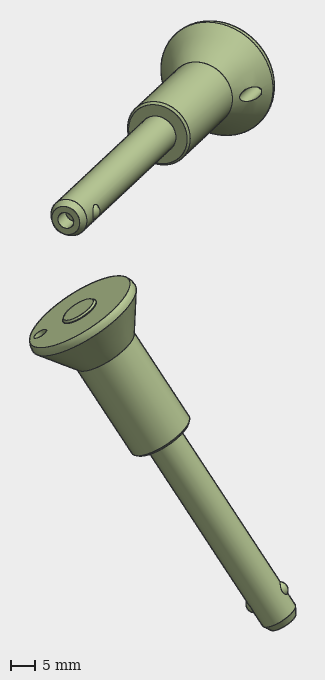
import cadquery as cq
import math


total_length = 80.8
shank_length = 47.8
tip_chamfer_length = 1.6
sleeve_length = 22.4
sleeve_chamfer = 0.5
cone_length = 8.25
button_height = 0.6
button_chamfer = 0.4
rim_land = 0.25
rim_thickness = total_length - shank_length - sleeve_length - cone_length - button_height

shank_diameter = 8.0
tip_diameter = 6.2
sleeve_diameter = 14.0
flange_diameter = 25.0
button_diameter = 8.0

rim_bulge_radius = 2.75

bore_diameter = 3.5
bore_depth = 4

ball_diameter = 3.5
ball_reach = 4.8
ball_to_tip = 6.3

lanyard_hole_diameter = 3.0
lanyard_hole_offset = 9.45

tip_y = -shank_length
cone_start_y = sleeve_length
rim_start_y = cone_start_y + cone_length
bulge_start_y = rim_start_y + rim_land
flange_back_y = rim_start_y + rim_thickness
button_end_y = flange_back_y + button_height


def make_turned_body():
    """Shank, sleeve, conical flange and button, turned about the Y axis."""
    shank_radius = shank_diameter / 2
    sleeve_radius = sleeve_diameter / 2
    flange_radius = flange_diameter / 2
    button_radius = button_diameter / 2
    bulge_height = flange_back_y - bulge_start_y
    rim_inset = rim_bulge_radius - math.sqrt(rim_bulge_radius**2 - bulge_height**2)
    profile = (
        cq.Workplane("XY")
        .moveTo(0, tip_y)
        .lineTo(tip_diameter / 2, tip_y)
        .lineTo(shank_radius, tip_y + tip_chamfer_length)
        .lineTo(shank_radius, 0)
        .lineTo(sleeve_radius - sleeve_chamfer, 0)
        .lineTo(sleeve_radius, sleeve_chamfer)
        .lineTo(sleeve_radius, cone_start_y)
        .lineTo(flange_radius, rim_start_y)
        .lineTo(flange_radius, bulge_start_y)
        .radiusArc((flange_radius - rim_inset, flange_back_y), -rim_bulge_radius)
        .lineTo(button_radius, flange_back_y)
        .lineTo(button_radius, button_end_y - button_chamfer)
        .lineTo(button_radius - button_chamfer, button_end_y)
        .lineTo(0, button_end_y)
        .close()
    )
    return profile.revolve(360, (0, 0, 0), (0, 1, 0))


def make_ball(side):
    """Locking ball bulging from the shank; side is -1 or +1 along X."""
    centre_x = side * (ball_reach - ball_diameter / 2)
    return cq.Workplane("XY").sphere(ball_diameter / 2).translate((centre_x, tip_y + ball_to_tip, 0))


def make_hole(diameter, x, start_y, depth):
    """Round cutter parallel to Y, running from start_y towards +Y."""
    return (
        cq.Workplane("XZ", origin=(x, start_y, 0))
        .circle(diameter / 2)
        .extrude(-depth)
    )


result = make_turned_body()
for side in (-1, 1):
    result = result.union(make_ball(side))

result = result.cut(make_hole(bore_diameter, 0, tip_y, bore_depth))

lanyard_hole_length = cone_length + rim_thickness
result = result.cut(
    make_hole(lanyard_hole_diameter, lanyard_hole_offset, cone_start_y, lanyard_hole_length)
)